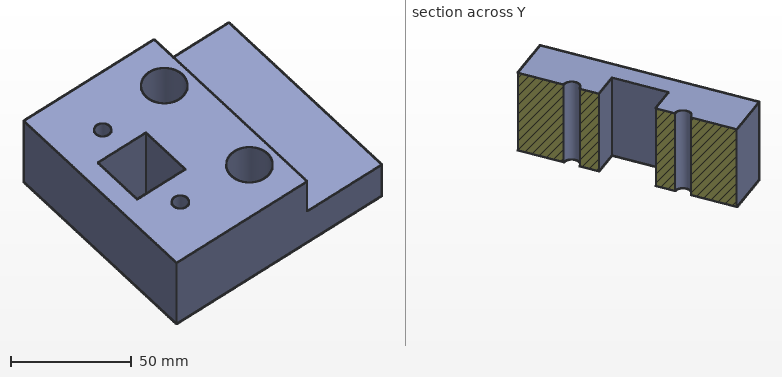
import cadquery as cq

width = 100.0
length = 110.0
height = 39.0

step_length = 40.0
step_height = 20.0

large_hole_diameter = 19.2
large_hole_spacing = 55.7
large_hole_from_front = 57.2
small_hole_diameter = 7.2
small_hole_spacing = 50.7
window_side = 25.7
window_from_front = 22.2


def stepped_block():
    """Full-length base with a raised front body."""
    front_length = length - step_length
    base = cq.Workplane("XY").box(width, length, step_height, centered=(True, False, False))
    body = cq.Workplane("XY").box(width, front_length, height, centered=(True, False, False))
    return base.union(body)


def hole_pair(diameter, spacing, from_front):
    """Two vertical cutters, symmetric about the YZ plane."""
    centres = [(side * spacing / 2, from_front) for side in (-1, 1)]
    return cq.Workplane("XY").pushPoints(centres).circle(diameter / 2).extrude(height)


def square_window():
    """Vertical square cutter on the centre line."""
    return cq.Workplane("XY").center(0, window_from_front).rect(window_side, window_side).extrude(height)


result = (
    stepped_block()
    .cut(hole_pair(large_hole_diameter, large_hole_spacing, large_hole_from_front))
    .cut(hole_pair(small_hole_diameter, small_hole_spacing, window_from_front))
    .cut(square_window())
)